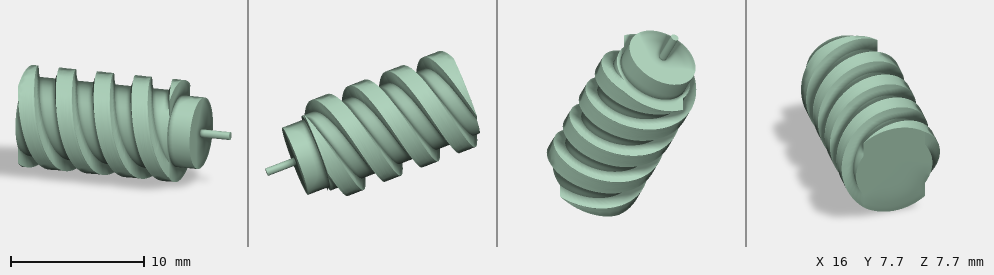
import cadquery as cq

worm_length = 12.0
worm_diameter = 7.7
core_diameter = 6.0
thread_width = 4.8
thread_lead = 6.0

collar_diameter = 5.4
collar_length = 1.7
pin_diameter = 0.6
pin_length = 2.3


def cylinder_along_x(start, length, diameter):
    return cq.Workplane("YZ", origin=(start, 0, 0)).circle(diameter / 2).extrude(length)


def twin_thread():
    """Flat-sided bar with rounded ends, twisted about X to form both thread starts."""
    outer_radius = worm_diameter / 2
    half_width = thread_width / 2
    half_flank = (outer_radius**2 - half_width**2) ** 0.5
    twist_angle = 360 * worm_length / thread_lead
    return (
        cq.Workplane("YZ")
        .moveTo(-half_width, -half_flank)
        .threePointArc((0, -outer_radius), (half_width, -half_flank))
        .lineTo(half_width, half_flank)
        .threePointArc((0, outer_radius), (-half_width, half_flank))
        .close()
        .twistExtrude(worm_length, twist_angle)
    )


core = cylinder_along_x(0, worm_length, core_diameter)
worm = core.union(twin_thread())
collar = cylinder_along_x(worm_length, collar_length, collar_diameter)
pin = cylinder_along_x(worm_length + collar_length, pin_length, pin_diameter)

result = worm.union(collar).union(pin)